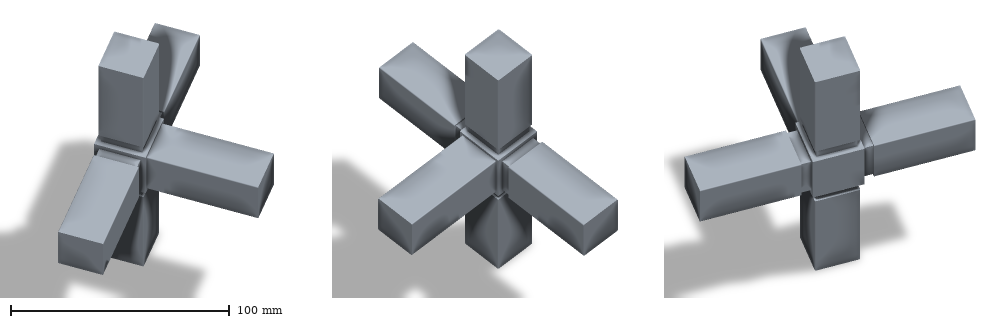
import cadquery as cq

reach = 66.5
hub_size = 25.0
plug_size = 22.0
plug_length = 49.0
plug_corner_radius = 0.5
neck_size = 20.0

hub_face = hub_size / 2
plug_start = reach - plug_length


def square_bar(direction, size, start, end, corner_radius=0):
    """Square bar along a direction, between two distances from the hub centre."""
    normal = cq.Vector(*direction)
    side = cq.Vector(1, 0, 0) if direction[0] == 0 else cq.Vector(0, 1, 0)
    plane = cq.Plane(origin=(normal * start).toTuple(), xDir=side, normal=normal)
    sketch = cq.Sketch().rect(size, size)
    if corner_radius > 0:
        sketch = sketch.vertices().fillet(corner_radius)
    return cq.Workplane(plane).placeSketch(sketch).extrude(end - start)


result = cq.Workplane("XY").box(hub_size, hub_size, hub_size)

for direction in [(0, 1, 0), (0, -1, 0), (0, 0, 1), (0, 0, -1)]:
    result = result.union(square_bar(direction, neck_size, 0, plug_start))
    result = result.union(square_bar(direction, plug_size, plug_start, reach, plug_corner_radius))

result = result.union(square_bar((1, 0, 0), plug_size, hub_face, reach, plug_corner_radius))